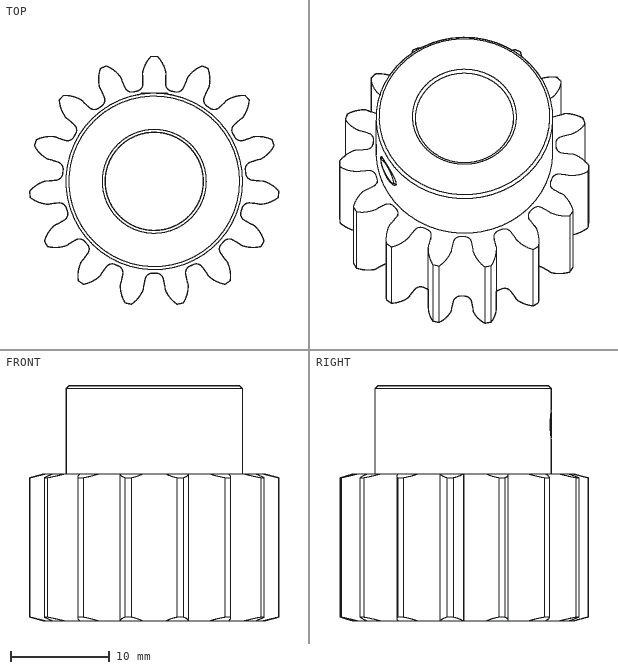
import cadquery as cq
import math


TOOTH_COUNT = 15
PITCH_ANGLE = 2 * math.pi / TOOTH_COUNT
MODULE = 1.5
PITCH_RADIUS = MODULE * TOOTH_COUNT / 2
TIP_RADIUS = PITCH_RADIUS + MODULE
DEDENDUM_FACTOR = 1.25
ROOT_RADIUS = PITCH_RADIUS - DEDENDUM_FACTOR * MODULE
ROOT_FILLET = 0.74

SWELL_START_RADIUS = 10.78
SWELL_TOOTH_WIDTH = 2.41
PITCH_TOOTH_WIDTH = math.pi * MODULE / 2
MID_TOOTH_WIDTH = 1.78
TIP_TOOTH_WIDTH = 0.65

FACE_WIDTH = 10 * MODULE
END_BEVEL_ANGLE = math.radians(15)

HUB_DIAMETER = 18.0
HUB_HEIGHT = 9.0
BORE_DIAMETER = 10.0
EDGE_CHAMFER = 0.3
TOTAL_HEIGHT = FACE_WIDTH + HUB_HEIGHT

SCREW_DIAMETER = 3.25
SCREW_LENGTH = (HUB_DIAMETER - BORE_DIAMETER) / 2
SCREW_DEPTH_BELOW_TOP = 4.0
SCREW_HEIGHT = TOTAL_HEIGHT - SCREW_DEPTH_BELOW_TOP


def polar(radius, angle):
    """Point at a radius, with the angle turned from +Y towards +X."""
    return (radius * math.sin(angle), radius * math.cos(angle))


def turned(point, angle):
    """Point turned about the gear axis, from +Y towards +X."""
    x, y = point
    return (x * math.cos(angle) + y * math.sin(angle), y * math.cos(angle) - x * math.sin(angle))


def mirrored(point):
    """Point on the other side of the tooth centre line."""
    return (-point[0], point[1])


def flank_point(radius, tooth_width):
    """Point on the +X flank of the tooth centred on +Y, for the width of the tooth along its arc."""
    return polar(radius, tooth_width / 2 / radius)


LOWER_HALF_WIDTH = flank_point(PITCH_RADIUS, PITCH_TOOTH_WIDTH)[0]
FILLET_CENTRE_X = LOWER_HALF_WIDTH + ROOT_FILLET
FILLET_ANGLE = math.asin(FILLET_CENTRE_X / (ROOT_RADIUS + ROOT_FILLET))
FILLET_CENTRE_Y = (ROOT_RADIUS + ROOT_FILLET) * math.cos(FILLET_ANGLE)


def fillet_middle_point():
    """Point halfway along the root fillet on the +X side of the tooth."""
    direction = (math.pi / 2 + FILLET_ANGLE) / 2
    offset_x, offset_y = polar(ROOT_FILLET, direction)
    return (FILLET_CENTRE_X - offset_x, FILLET_CENTRE_Y - offset_y)


def add_tooth(outline, turn):
    """Continue the outline across the root gap before a tooth and around that tooth."""
    fillet_bottom = polar(ROOT_RADIUS, FILLET_ANGLE)
    fillet_middle = fillet_middle_point()
    fillet_top = (LOWER_HALF_WIDTH, FILLET_CENTRE_Y)
    swell_start = (LOWER_HALF_WIDTH, math.sqrt(SWELL_START_RADIUS**2 - LOWER_HALF_WIDTH**2))
    swell_middle = flank_point((SWELL_START_RADIUS + PITCH_RADIUS) / 2, SWELL_TOOTH_WIDTH)
    flank_start = flank_point(PITCH_RADIUS, PITCH_TOOTH_WIDTH)
    flank_middle = flank_point((PITCH_RADIUS + TIP_RADIUS) / 2, MID_TOOTH_WIDTH)
    flank_end = flank_point(TIP_RADIUS, TIP_TOOTH_WIDTH)

    def near(point):
        return turned(mirrored(point), turn)

    def far(point):
        return turned(point, turn)

    return (
        outline
        .threePointArc(polar(ROOT_RADIUS, turn - PITCH_ANGLE / 2), near(fillet_bottom))
        .threePointArc(near(fillet_middle), near(fillet_top))
        .lineTo(*near(swell_start))
        .threePointArc(near(swell_middle), near(flank_start))
        .threePointArc(near(flank_middle), near(flank_end))
        .threePointArc(polar(TIP_RADIUS, turn), far(flank_end))
        .threePointArc(far(flank_middle), far(flank_start))
        .threePointArc(far(swell_middle), far(swell_start))
        .lineTo(*far(fillet_top))
        .threePointArc(far(fillet_middle), far(fillet_bottom))
    )


def make_toothed_rim():
    """Toothed disc with conical bevels on both tooth ends."""
    outline = cq.Workplane("XY").moveTo(*polar(ROOT_RADIUS, FILLET_ANGLE - PITCH_ANGLE))
    for tooth in range(TOOTH_COUNT):
        outline = add_tooth(outline, tooth * PITCH_ANGLE)
    rim = outline.close().extrude(FACE_WIDTH)

    bevel_height = (TIP_RADIUS - PITCH_RADIUS) * math.tan(END_BEVEL_ANGLE)
    bevelled_blank = (
        cq.Workplane("XZ")
        .polyline([
            (0, 0),
            (PITCH_RADIUS, 0),
            (TIP_RADIUS, bevel_height),
            (TIP_RADIUS, FACE_WIDTH - bevel_height),
            (PITCH_RADIUS, FACE_WIDTH),
            (0, FACE_WIDTH),
        ])
        .close()
        .revolve(360, (0, 0, 0), (0, 1, 0))
    )
    return rim.intersect(bevelled_blank)


def screw_rod(length):
    """Rod on the screw axis, from the outermost point of the hub inwards."""
    return (
        cq.Workplane("XZ", origin=(0, HUB_DIAMETER / 2, SCREW_HEIGHT))
        .circle(SCREW_DIAMETER / 2)
        .extrude(length)
    )


def make_hub():
    return (
        cq.Workplane("XY", origin=(0, 0, FACE_WIDTH))
        .circle(HUB_DIAMETER / 2)
        .extrude(HUB_HEIGHT)
        .faces(">Z")
        .chamfer(EDGE_CHAMFER)
    )


def make_gear():
    """Toothed rim and hub in one piece, with the chamfered bore and the screw hole."""
    bore = cq.Workplane("XY").circle(BORE_DIAMETER / 2).extrude(TOTAL_HEIGHT)
    gear = make_toothed_rim().union(make_hub()).cut(bore)
    bore_rim = cq.selectors.RadiusNthSelector(0)
    gear = gear.faces(">Z").edges(bore_rim).chamfer(EDGE_CHAMFER)
    return gear.cut(screw_rod(HUB_DIAMETER / 2))


def make_set_screw():
    """Set screw that fills the hub wall, chamfered at both ends."""
    return screw_rod(SCREW_LENGTH).faces("<Y or >Y").chamfer(EDGE_CHAMFER)


gear = make_gear()
set_screw = make_set_screw()

result = cq.Compound.makeCompound([gear.val(), set_screw.val()])